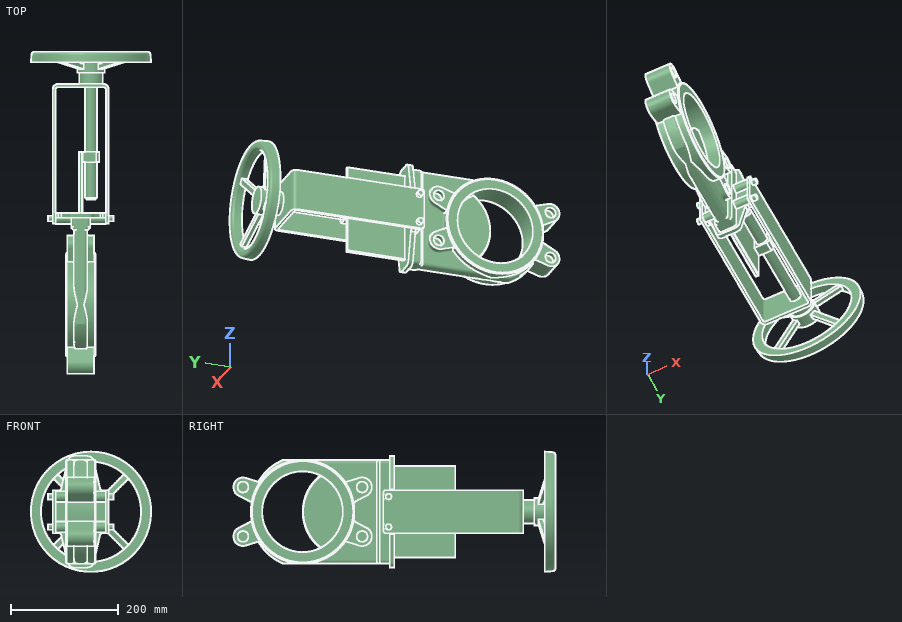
import cadquery as cq
import math


BORE_RADIUS = 75.0
RING_RADIUS = 96.5
RING_HALF_WIDTH = 27.5
RING_CHAMFER_DEPTH = 1.0
RING_CHAMFER_RADIAL = 2.5
PLATE_HALF_HEIGHT = RING_RADIUS
PLATE_HALF_WIDTH = 12.5
PLATE_CORNER_Y = -36.0
PLATE_ARC_MIDDLE = (-63.5, 79.0)
PLATE_ARC_END = (-84.0, 53.0)
PLATE_FILLET = 6.5
PLATE_ARC_FILLET = 5.0
BAND_HALF_WIDTH = 18.0
BAND_BOTTOM = 143.0
BAND_SLOPE_BOTTOM = 138.0

BOLT_CIRCLE_RADIUS = 120.0
LUG_ANGLE = 22.5
LUG_TIP_RADIUS = 18.0
LUG_TAPER = 5.0
LUG_ROOT_RADIUS = 87.0
LUG_HALF_WIDTH = 25.0
LUG_HOLE_RADIUS = 10.0
LUG_HOLE_DEPTH = 15.0
LUG_ROOT_HEIGHT = 66.0
ROOT_FILLET = 2.5

FLANGE_BOTTOM = 162.0
FLANGE_THICKNESS = 9.0
FLANGE_TOP = FLANGE_BOTTOM + FLANGE_THICKNESS
FLANGE_HALF_HEIGHT = 103.5
FLANGE_END_HALF_WIDTH = 22.0
FLANGE_ROOT_HALF_WIDTH = 36.5
FLANGE_ROOT_HEIGHT = 42.0
FLANGE_TONGUE_HEIGHT = 38.5
FLANGE_TONGUE_CORNER = 41.5
FLANGE_END_FILLET = 12.0

YOKE_HALF_WIDTH = 52.0
YOKE_SIDE_THICKNESS = 5.5
YOKE_TOP_THICKNESS = 6.5
YOKE_INNER_HALF_WIDTH = YOKE_HALF_WIDTH - YOKE_SIDE_THICKNESS
YOKE_HALF_HEIGHT = 40.0
YOKE_BOTTOM = 150.5
YOKE_TOP = 410.5
YOKE_BEND_RADIUS = 10.0
YOKE_INNER_BEND_RADIUS = 3.5
YOKE_CORNER_RADIUS = 4.0

BOLT_Y = 160.0
BOLT_Z = 28.0
BOLT_HEAD_RADIUS = 5.5
BOLT_HEAD_END = 61.0
BOSS_RADIUS = 10.0

GATE_HALF_THICKNESS = 3.5
GATE_RADIUS = 86.0
GATE_TIP_Y = 0.0
GATE_TOP = 284.0
GATE_EDGE_CHAMFER = 1.0

STEM_X = 19.0
STEM_RADIUS = 11.5
STEM_BOTTOM = 195.5
STEM_CHAMFER = 3.5
NUT_BOTTOM = 265.0
NUT_HALF_WIDTH = STEM_X - GATE_HALF_THICKNESS
NUT_CHAMFER = 5.5
BUSHING_RADIUS = 22.0

WHEEL_RADIUS = 112.0
WHEEL_BACK = 599.5 - BOLT_CIRCLE_RADIUS * math.cos(math.radians(LUG_ANGLE)) - LUG_TIP_RADIUS
RIM_WIDTH = 20.5
WHEEL_FRONT = WHEEL_BACK - RIM_WIDTH
RIM_DRAFT = 4.0
RIM_INNER_RADIUS = 93.0
RIM_FILLET = 6.5
HUB_RADIUS = 26.0
HUB_FRONT = 431.0
HUB_BACK = 456.0
SPOKE_WIDTH = 12.0
SPOKE_THICKNESS = 9.5
SPOKE_HUB_Y = 438.0
SPOKE_RIM_Y = 453.0
SPOKE_ANGLES = (45, 135, 225, 315)


def cylinder_x(radius, start, end, y=0, z=0):
    """Cylinder along X from start to end."""
    plane = cq.Workplane("YZ", origin=(start, y, z))
    return plane.circle(radius).extrude(end - start)


def cylinder_y(radius, start, end, x=0, z=0):
    """Cylinder along Y from start to end."""
    plane = cq.Workplane("ZX", origin=(x, start, z))
    return plane.circle(radius).extrude(end - start)


def make_body_plate():
    """Flat casting that holds the gate, with rounded edges and a curved lower end."""
    arc_y, arc_z = PLATE_ARC_MIDDLE
    end_y, end_z = PLATE_ARC_END
    outline = (
        cq.Workplane("YZ", origin=(-PLATE_HALF_WIDTH, 0, 0))
        .moveTo(FLANGE_BOTTOM, -PLATE_HALF_HEIGHT)
        .lineTo(PLATE_CORNER_Y, -PLATE_HALF_HEIGHT)
        .threePointArc((arc_y, -arc_z), (end_y, -end_z))
        .lineTo(end_y, end_z)
        .threePointArc((arc_y, arc_z), (PLATE_CORNER_Y, PLATE_HALF_HEIGHT))
        .lineTo(FLANGE_BOTTOM, PLATE_HALF_HEIGHT)
        .close()
    )
    plate = outline.extrude(2 * PLATE_HALF_WIDTH)
    plate = plate.faces("<Z or >Z").edges("|Y").fillet(PLATE_FILLET)
    return plate.faces("<X or >X").edges("%CIRCLE").fillet(PLATE_ARC_FILLET)


def make_band():
    """Thicker band under the top flange, sloping down to the body plate."""
    band = (
        cq.Workplane("XY", origin=(0, 0, -PLATE_HALF_HEIGHT))
        .moveTo(-BAND_HALF_WIDTH, FLANGE_BOTTOM)
        .lineTo(-BAND_HALF_WIDTH, BAND_BOTTOM)
        .lineTo(-PLATE_HALF_WIDTH, BAND_SLOPE_BOTTOM)
        .lineTo(PLATE_HALF_WIDTH, BAND_SLOPE_BOTTOM)
        .lineTo(BAND_HALF_WIDTH, BAND_BOTTOM)
        .lineTo(BAND_HALF_WIDTH, FLANGE_BOTTOM)
        .close()
        .extrude(2 * PLATE_HALF_HEIGHT)
    )
    return band.edges("(not |Z) and (<Z or >Z)").edges("not (<Y or >Y)").fillet(PLATE_FILLET)


def make_ring():
    """Pipe flange ring around the bore, chamfered at both faces."""
    ring = cylinder_x(RING_RADIUS, -RING_HALF_WIDTH, RING_HALF_WIDTH)
    ring = ring.faces(">X").chamfer(RING_CHAMFER_DEPTH, RING_CHAMFER_RADIAL)
    return ring.faces("<X").chamfer(RING_CHAMFER_DEPTH, RING_CHAMFER_RADIAL)


def make_lug(angle):
    """Tapered lug with a round tip, pointing at the given angle from +Y towards +Z."""
    taper = math.radians(LUG_TAPER)
    tangent_along = BOLT_CIRCLE_RADIUS + LUG_TIP_RADIUS * math.sin(taper)
    tangent_across = LUG_TIP_RADIUS * math.cos(taper)
    root_across = tangent_across + (tangent_along - LUG_ROOT_RADIUS) * math.tan(taper)
    lug = (
        cq.Workplane("YZ", origin=(-LUG_HALF_WIDTH, 0, 0))
        .moveTo(LUG_ROOT_RADIUS, -root_across)
        .lineTo(tangent_along, -tangent_across)
        .threePointArc((BOLT_CIRCLE_RADIUS + LUG_TIP_RADIUS, 0), (tangent_along, tangent_across))
        .lineTo(LUG_ROOT_RADIUS, root_across)
        .close()
        .extrude(2 * LUG_HALF_WIDTH)
    )
    return lug.rotate((0, 0, 0), (1, 0, 0), angle)


def make_lug_holes(angle):
    """Blind holes into both faces of the lug at the given angle."""
    y = BOLT_CIRCLE_RADIUS * math.cos(math.radians(angle))
    z = BOLT_CIRCLE_RADIUS * math.sin(math.radians(angle))
    bottom = LUG_HALF_WIDTH - LUG_HOLE_DEPTH
    right = cylinder_x(LUG_HOLE_RADIUS, bottom, LUG_HALF_WIDTH, y, z)
    left = cylinder_x(LUG_HOLE_RADIUS, -LUG_HALF_WIDTH, -bottom, y, z)
    return right.union(left)


def fillet_lug_roots(casting):
    """Round the corners where the upper lugs, and the ring between them, rise from the plate."""
    margin = ROOT_FILLET / 2
    reach = BOLT_CIRCLE_RADIUS + LUG_TIP_RADIUS
    for side in (-1, 1):
        root_zone = cq.selectors.BoxSelector(
            (side * PLATE_HALF_WIDTH - margin, margin, -LUG_ROOT_HEIGHT),
            (side * PLATE_HALF_WIDTH + margin, reach, LUG_ROOT_HEIGHT),
        )
        casting = casting.edges(root_zone).fillet(ROOT_FILLET)
    return casting


def make_top_flange():
    """Plate across the top of the body: tapered ends and a wide middle that meets the yoke."""
    quarter = [
        (YOKE_INNER_HALF_WIDTH, FLANGE_TONGUE_HEIGHT),
        (FLANGE_TONGUE_CORNER, FLANGE_TONGUE_HEIGHT),
        (FLANGE_ROOT_HALF_WIDTH, FLANGE_ROOT_HEIGHT),
        (FLANGE_END_HALF_WIDTH, FLANGE_HALF_HEIGHT),
    ]
    upper = quarter + [(-x, z) for x, z in reversed(quarter)]
    lower = [(-x, -z) for x, z in upper]
    top_plane = cq.Workplane("XZ", origin=(0, FLANGE_TOP, 0))
    flange = top_plane.polyline(upper + lower).close().extrude(FLANGE_THICKNESS)
    return flange.edges("|Y").edges("<Z or >Z").fillet(FLANGE_END_FILLET)


def make_yoke():
    """U-shaped strap that carries the stem bushing."""
    outer = (
        cq.Workplane("XY", origin=(0, 0, -YOKE_HALF_HEIGHT))
        .moveTo(-YOKE_HALF_WIDTH, YOKE_BOTTOM)
        .lineTo(YOKE_HALF_WIDTH, YOKE_BOTTOM)
        .lineTo(YOKE_HALF_WIDTH, YOKE_TOP)
        .lineTo(-YOKE_HALF_WIDTH, YOKE_TOP)
        .close()
        .extrude(2 * YOKE_HALF_HEIGHT)
        .edges("|Z and >Y")
        .fillet(YOKE_BEND_RADIUS)
        .edges("|X and <Y")
        .fillet(YOKE_CORNER_RADIUS)
    )
    inside_length = YOKE_TOP - YOKE_TOP_THICKNESS - YOKE_BOTTOM
    inside = (
        cq.Workplane("XY")
        .box(2 * YOKE_INNER_HALF_WIDTH, inside_length, 2 * YOKE_HALF_HEIGHT)
        .edges("|Z and >Y")
        .fillet(YOKE_INNER_BEND_RADIUS)
        .translate((0, YOKE_BOTTOM + inside_length / 2, 0))
    )
    return outer.cut(inside)


def make_yoke_fixings():
    """Four bosses between body and yoke, with the bolt heads outside the yoke."""
    fixings = cq.Workplane("XY")
    for z in (-BOLT_Z, BOLT_Z):
        fixings = fixings.union(
            cylinder_x(BOSS_RADIUS, -YOKE_INNER_HALF_WIDTH, YOKE_INNER_HALF_WIDTH, BOLT_Y, z)
        )
        fixings = fixings.union(cylinder_x(BOLT_HEAD_RADIUS, -BOLT_HEAD_END, BOLT_HEAD_END, BOLT_Y, z))
    return fixings


def make_gate():
    """Knife gate: a plate with a semicircular lower end."""
    centre_y = GATE_TIP_Y + GATE_RADIUS
    gate = (
        cq.Workplane("YZ", origin=(-GATE_HALF_THICKNESS, 0, 0))
        .moveTo(GATE_TOP, -GATE_RADIUS)
        .lineTo(centre_y, -GATE_RADIUS)
        .threePointArc((GATE_TIP_Y, 0), (centre_y, GATE_RADIUS))
        .lineTo(GATE_TOP, GATE_RADIUS)
        .close()
        .extrude(2 * GATE_HALF_THICKNESS)
    )
    return gate.edges("|Y").chamfer(GATE_EDGE_CHAMFER)


def make_stem():
    """Round stem from its free end up into the handwheel hub."""
    stem = cylinder_y(STEM_RADIUS, STEM_BOTTOM, HUB_BACK, STEM_X)
    return stem.faces("<Y").chamfer(STEM_CHAMFER)


def make_nut():
    """Square stem nut fixed to the gate, chamfered on the far side."""
    nut = (
        cq.Workplane("XY")
        .box(2 * NUT_HALF_WIDTH, GATE_TOP - NUT_BOTTOM, 2 * NUT_HALF_WIDTH)
        .translate((STEM_X, (GATE_TOP + NUT_BOTTOM) / 2, 0))
    )
    return nut.edges("|Y and >X").chamfer(NUT_CHAMFER)


def make_spoke(angle):
    """Spoke that slopes from the hub back to the rim."""
    slope = (SPOKE_RIM_Y - SPOKE_HUB_Y) / (RIM_INNER_RADIUS - HUB_RADIUS)
    start = HUB_RADIUS / 2
    end = RIM_INNER_RADIUS + RIM_FILLET
    start_y = SPOKE_HUB_Y + slope * (start - HUB_RADIUS)
    end_y = SPOKE_HUB_Y + slope * (end - HUB_RADIUS)
    spoke = (
        cq.Workplane("XY", origin=(0, 0, -SPOKE_WIDTH / 2))
        .moveTo(start, start_y)
        .lineTo(end, end_y)
        .lineTo(end, end_y + SPOKE_THICKNESS)
        .lineTo(start, start_y + SPOKE_THICKNESS)
        .close()
        .extrude(SPOKE_WIDTH)
    )
    return spoke.rotate((0, 0, 0), (0, 1, 0), angle).translate((STEM_X, 0, 0))


def make_handwheel():
    """Rim, spokes and hub."""
    front = cq.Workplane("ZX", origin=(STEM_X, WHEEL_FRONT, 0))
    rim = front.circle(WHEEL_RADIUS).extrude(RIM_WIDTH, taper=RIM_DRAFT)
    rim = rim.cut(cylinder_y(RIM_INNER_RADIUS, WHEEL_FRONT, WHEEL_BACK, STEM_X))
    rim = rim.faces(">Y").edges().fillet(RIM_FILLET)
    wheel = rim.union(cylinder_y(HUB_RADIUS, HUB_FRONT, HUB_BACK, STEM_X))
    for angle in SPOKE_ANGLES:
        wheel = wheel.union(make_spoke(angle))
    return wheel


def make_drive():
    """Moving body: handwheel, stem, nut and gate."""
    return make_handwheel().union(make_stem()).union(make_nut()).union(make_gate())


def make_housing(drive):
    """Fixed body: valve body, flange, yoke and bushing, with passages that fit the drive."""
    lug_angles = (LUG_ANGLE, -LUG_ANGLE, 180 - LUG_ANGLE, 180 + LUG_ANGLE)
    housing = make_body_plate().union(make_ring())
    for angle in lug_angles:
        housing = housing.union(make_lug(angle))
    housing = fillet_lug_roots(housing)
    housing = housing.union(make_band()).union(make_top_flange())
    housing = housing.union(make_yoke_fixings()).union(make_yoke())
    housing = housing.union(cylinder_y(BUSHING_RADIUS, YOKE_TOP, HUB_FRONT, STEM_X))
    housing = housing.cut(cylinder_x(BORE_RADIUS, -RING_HALF_WIDTH, RING_HALF_WIDTH))
    for angle in lug_angles:
        housing = housing.cut(make_lug_holes(angle))
    return housing.cut(drive)


drive = make_drive()
housing = make_housing(drive)
result = cq.Compound.makeCompound([housing.val(), drive.val()])